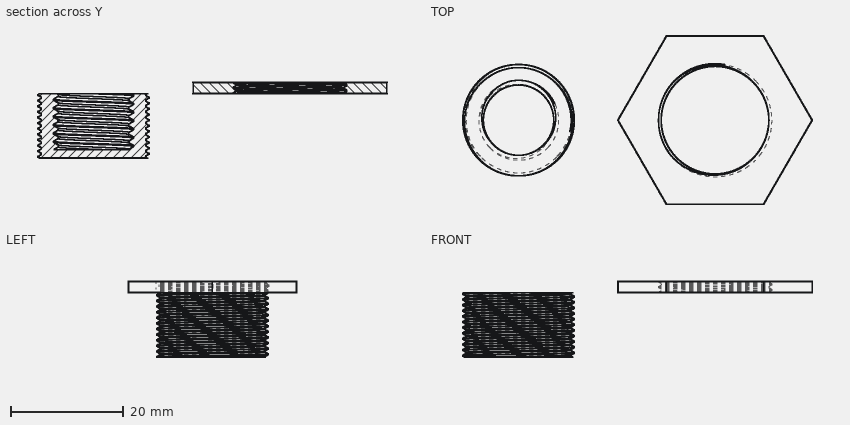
import cadquery as cq
import math

plug_height = 11.5
plug_floor = 1.5
plug_major_diameter = 19.88
plug_minor_diameter = 18.74

bore_major_diameter = 14.2
bore_minor_diameter = 12.53
bore_pitch = 1.5

nut_across_flats = 30.0
nut_thickness = 2.0
nut_offset = 35.0
thread_clearance = 0.27
nut_major_diameter = plug_major_diameter + thread_clearance
nut_minor_diameter = 19.15

outer_pitch = 1.0
flank_half_angle = math.radians(30)

plug_crest_share = 0.13
bore_groove_share = 0.1
nut_groove_share = 0.2

blank_margin = 1.0

plug_crest_phase = 0.75
bore_groove_phase = 0.43
nut_groove_phase = 0.5


def threaded_rod(major_diameter, minor_diameter, pitch, length, crest_width, crest_phase):
    """Solid right-hand threaded rod on Z = 0, cut flat at both ends.

    The crest is centred crest_phase pitches above Z = 0 (or a whole number of pitches
    from there) at the +X side.
    """
    major_radius = major_diameter / 2
    minor_radius = minor_diameter / 2
    flank_width = (major_radius - minor_radius) * math.tan(flank_half_angle)
    half_crest = crest_width / 2
    half_ridge = half_crest + flank_width

    corners = [
        (minor_radius, -half_ridge),
        (major_radius, -half_crest),
        (major_radius, half_crest),
        (minor_radius, half_ridge),
        (minor_radius, pitch - half_ridge),
    ]
    first_turn = -2
    last_turn = math.ceil(length / pitch) + 1
    strips = []
    for turn in range(first_turn, last_turn):
        crest_z = (turn + crest_phase) * pitch
        helices = [
            cq.Wire.makeHelix(pitch, pitch, radius, cq.Vector(0, 0, crest_z + height)).Edges()[0]
            for radius, height in corners
        ]
        strips += [cq.Face.makeRuledSurface(low, high) for low, high in zip(helices, helices[1:])]
    thread_surface = cq.Shell.makeShell(strips)

    blank = cq.Solid.makeCylinder(major_radius + blank_margin, length)
    pieces = blank.split(thread_surface).Solids()
    rod = min(pieces, key=lambda piece: piece.BoundingBox().DiagonalLength)
    return cq.Workplane("XY").newObject([rod])


def make_plug():
    """Threaded rod with a threaded blind bore above a plain floor."""
    rod = threaded_rod(
        plug_major_diameter,
        plug_minor_diameter,
        outer_pitch,
        plug_height,
        plug_crest_share * outer_pitch,
        plug_crest_phase,
    )
    bore = threaded_rod(
        bore_major_diameter,
        bore_minor_diameter,
        bore_pitch,
        plug_height - plug_floor,
        bore_groove_share * bore_pitch,
        bore_groove_phase,
    )
    return rod.cut(bore.translate((0, 0, plug_floor)))


def make_nut():
    """Thin hexagonal nut with corners on the X axis and a threaded through hole."""
    across_corners = nut_across_flats / math.cos(math.pi / 6)
    hole = threaded_rod(
        nut_major_diameter,
        nut_minor_diameter,
        outer_pitch,
        nut_thickness,
        nut_groove_share * outer_pitch,
        nut_groove_phase,
    )
    return (
        cq.Workplane("XY")
        .polygon(6, across_corners)
        .extrude(nut_thickness)
        .cut(hole)
        .translate((nut_offset, 0, plug_height))
    )


plug = make_plug()
nut = make_nut()

result = cq.Compound.makeCompound([plug.solids().val(), nut.solids().val()])